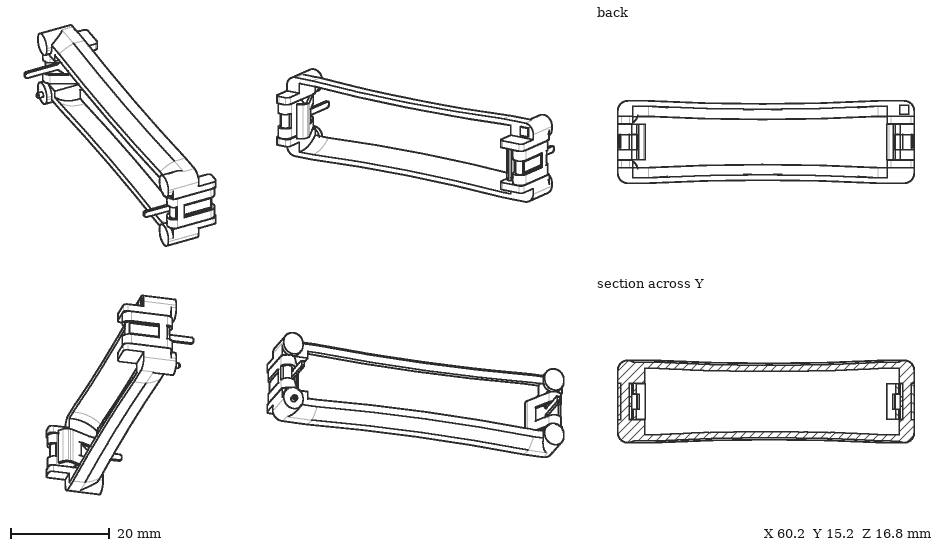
import cadquery as cq
import math

END_X = 30.1
RAIL_TOP_Z = 8.38
BODY_FRONT_Y = 1.1
RAIL_BACK_Y = 6.88
BLOCK_BACK_Y = 11.0
EDGE_OVERLAP = 1.0

BLOCK_Z = 5.2
LEFT_BLOCK_LENGTH = 5.54
RIGHT_BLOCK_LENGTH = 3.1
BLOCK_CORNER_RADIUS = 0.75

RAIL_INNER_Z = 5.18
RAIL_FRONT_OUTER_Z = 6.76
RAIL_FLAT_FRONT_Y = 4.37
RAIL_OUTER_RADIUS = 8.8
CELL_RADIUS = 7.3
CELL_Y = BODY_FRONT_Y + math.sqrt(CELL_RADIUS**2 - RAIL_INNER_Z**2)
BOW_CENTER_X = 0.63
BOW_HALF_LENGTH = 23.27
BOW_DEPTH = 0.62

STANDOFF_RADIUS = 2.05
STANDOFF_X = END_X - STANDOFF_RADIUS
STANDOFF_OUTER_Z = RAIL_TOP_Z - STANDOFF_RADIUS
STANDOFF_HEIGHT = 4.69
CHANNEL_Z = RAIL_TOP_Z - STANDOFF_HEIGHT
STANDOFF_MID_Z = RAIL_TOP_Z - STANDOFF_HEIGHT / 2

PEG_RADIUS = 0.55
PEG_LENGTH = 1.25
PEG_CHAMFER = 0.3
PAD_SIZE = 1.85
PAD_HEIGHT = 0.38
PAD_Z = 6.56

SHEET = 0.55
CONTACT_HEIGHT = 7.24
WRAP_RADIUS = 1.45
CORE_RADIUS = WRAP_RADIUS - SHEET
CORE_X = END_X - WRAP_RADIUS
CORE_FRONT_Y = 1.99
CORE_BACK_Y = BLOCK_BACK_Y - WRAP_RADIUS
SLOT_Z = 1.52
REAR_SLOT_FRONT_Y = 3.62
SPRING_SLOT_X = 25.7
SPRING_TILT = math.radians(26.5)
SPRING_PEAK_X = 24.5
CURL_RADIUS = 1.3
CURL_FLAT = 0.4
CURL_TURN = math.radians(50)
CURL_TIP_LENGTH = 1.15
PLATE_FRONT_Y = 6.0
TAPER_END_Y = 3.0
PIN_Z = 0.645
PIN_TIP_Y = -4.24
PIN_CHAMFER = 0.3

RIB_Z = 1.17
RIB_HEIGHT = 0.25
RIB_BACK_Y = 9.77


def box(x_range, y_range, z_range):
    lengths = [high - low for low, high in (x_range, y_range, z_range)]
    corner = (x_range[0], y_range[0], z_range[0])
    return cq.Workplane("XY").box(*lengths, centered=False).translate(corner)


def draw_outer_side(plane, bow):
    """Draw the outer side of a rail from its front edge to its back edge, shifted inward by the bow."""
    return (
        plane.moveTo(BODY_FRONT_Y, RAIL_FRONT_OUTER_Z - bow)
        .radiusArc((RAIL_FLAT_FRONT_Y, RAIL_TOP_Z - bow), RAIL_OUTER_RADIUS)
        .lineTo(RAIL_BACK_Y, RAIL_TOP_Z - bow)
    )


def draw_rail_section(plane, bow):
    """Draw the closed rail outline, hollowed on the inside to clear the round cell."""
    hollow_back_z = math.sqrt(CELL_RADIUS**2 - (RAIL_BACK_Y - CELL_Y) ** 2)
    return (
        draw_outer_side(plane, bow)
        .lineTo(RAIL_BACK_Y, hollow_back_z - bow)
        .threePointArc((CELL_Y, CELL_RADIUS - bow), (BODY_FRONT_Y, RAIL_INNER_Z - bow))
        .close()
    )


def make_upper_rail():
    bow_start_x = BOW_CENTER_X - BOW_HALF_LENGTH
    bow_end_x = BOW_CENTER_X + BOW_HALF_LENGTH
    bowed = draw_rail_section(cq.Workplane("YZ", origin=(bow_start_x, 0, 0)), 0)
    bowed = draw_rail_section(bowed.workplane(offset=BOW_HALF_LENGTH), BOW_DEPTH)
    bowed = draw_rail_section(bowed.workplane(offset=BOW_HALF_LENGTH), 0)
    rail = bowed.loft()
    for start_x, end_x in ((-STANDOFF_X, bow_start_x), (bow_end_x, STANDOFF_X)):
        plane = cq.Workplane("YZ", origin=(start_x, 0, 0))
        rail = rail.union(draw_rail_section(plane, 0).extrude(end_x - start_x))
    return rail


def make_upper_standoff(inner_x):
    """Right-hand standoff, cut back inward of the block so that it stays clear of the cell."""
    standoff = (
        cq.Workplane("XZ", origin=(STANDOFF_X, 0, STANDOFF_MID_Z))
        .slot2D(STANDOFF_HEIGHT, 2 * STANDOFF_RADIUS, 90)
        .extrude(-RAIL_BACK_Y)
    )
    cell = cq.Workplane("YZ").center(CELL_Y, 0).circle(CELL_RADIUS).extrude(inner_x)
    behind_foot = box((0, inner_x), (BODY_FRONT_Y, RAIL_BACK_Y), (0, CELL_RADIUS))
    return standoff.cut(cell.intersect(behind_foot))


def make_upper_cheek(inner_x):
    """Fills the end between the block, the rail's outer side and the standoff."""
    under_rail = (
        draw_outer_side(cq.Workplane("YZ", origin=(inner_x, 0, 0)), 0)
        .lineTo(RAIL_BACK_Y, 0)
        .lineTo(BODY_FRONT_Y, 0)
        .close()
        .extrude(STANDOFF_X - inner_x)
    )
    beside_standoff = box((STANDOFF_X, END_X), (BODY_FRONT_Y, RAIL_BACK_Y), (0, STANDOFF_OUTER_Z))
    return under_rail.union(beside_standoff)


def make_core():
    """Slab with half-round front and back that joins the two walls of a right-hand block."""
    length = CORE_BACK_Y - CORE_FRONT_Y + 2 * CORE_RADIUS
    core = (
        cq.Workplane("XY", origin=(CORE_X, (CORE_FRONT_Y + CORE_BACK_Y) / 2, -BLOCK_Z))
        .slot2D(length, 2 * CORE_RADIUS, 90)
        .extrude(2 * BLOCK_Z)
    )
    rib = box(
        (CORE_X, CORE_X + CORE_RADIUS + RIB_HEIGHT),
        (REAR_SLOT_FRONT_Y, RIB_BACK_Y),
        (-RIB_Z, RIB_Z),
    )
    return core.union(rib)


def make_right_end(block_length):
    inner_x = END_X - block_length
    block = box((inner_x, END_X), (BODY_FRONT_Y, BLOCK_BACK_Y), (-BLOCK_Z, BLOCK_Z))
    block = block.edges("|Z and >Y").fillet(BLOCK_CORNER_RADIUS)
    channel = box(
        (inner_x - EDGE_OVERLAP, END_X + EDGE_OVERLAP),
        (0, BLOCK_BACK_Y + EDGE_OVERLAP),
        (-CHANNEL_Z, CHANNEL_Z),
    )
    upper_end = make_upper_cheek(inner_x).union(make_upper_standoff(inner_x))
    end = block.union(upper_end).union(upper_end.mirror("XY"))
    return end.cut(channel).union(make_core())


def make_peg():
    return (
        cq.Workplane("XZ", origin=(-STANDOFF_X, 0, -STANDOFF_OUTER_Z))
        .circle(PEG_RADIUS)
        .extrude(PEG_LENGTH)
        .faces("<Y")
        .chamfer(PEG_CHAMFER)
    )


def make_pad():
    return (
        cq.Workplane("XZ", origin=(-STANDOFF_X, RAIL_BACK_Y, PAD_Z))
        .rect(PAD_SIZE, PAD_SIZE)
        .extrude(-PAD_HEIGHT)
    )


def make_housing():
    rail = make_upper_rail()
    housing = make_right_end(RIGHT_BLOCK_LENGTH)
    housing = housing.union(make_right_end(LEFT_BLOCK_LENGTH).mirror("YZ"))
    housing = housing.union(rail).union(rail.mirror("XY"))
    return housing.union(make_peg()).union(make_pad())


def make_wrapped_sheet():
    """Sheet swept along its mid-line: inner plate, rear bend, outer leg, front bend, spring, curl."""
    radius = WRAP_RADIUS - SHEET / 2
    front_turn = (math.pi - SPRING_TILT) / 2
    bend_end = (CORE_X - radius * math.cos(SPRING_TILT), CORE_FRONT_Y - radius * math.sin(SPRING_TILT))
    bend_middle = (
        CORE_X + radius * math.cos(front_turn + SPRING_TILT),
        CORE_FRONT_Y - radius * math.sin(front_turn + SPRING_TILT),
    )
    curl_radius = CURL_RADIUS - SHEET / 2
    curl_x = SPRING_PEAK_X + CURL_RADIUS
    leg_end_x = curl_x - curl_radius * math.cos(SPRING_TILT)
    leg_end_y = bend_end[1] + (bend_end[0] - leg_end_x) / math.tan(SPRING_TILT)
    curl_y = leg_end_y + curl_radius * math.sin(SPRING_TILT)
    flat_end_y = curl_y + CURL_FLAT
    curl_end = (curl_x - curl_radius * math.cos(CURL_TURN), flat_end_y + curl_radius * math.sin(CURL_TURN))
    tip = (
        curl_end[0] + CURL_TIP_LENGTH * math.sin(CURL_TURN),
        curl_end[1] + CURL_TIP_LENGTH * math.cos(CURL_TURN),
    )
    path = (
        cq.Workplane("XY")
        .moveTo(CORE_X - radius, PLATE_FRONT_Y)
        .lineTo(CORE_X - radius, CORE_BACK_Y)
        .threePointArc((CORE_X, CORE_BACK_Y + radius), (CORE_X + radius, CORE_BACK_Y))
        .lineTo(CORE_X + radius, CORE_FRONT_Y)
        .threePointArc(bend_middle, bend_end)
        .lineTo(leg_end_x, leg_end_y)
        .radiusArc((curl_x - curl_radius, curl_y), curl_radius)
        .lineTo(curl_x - curl_radius, flat_end_y)
        .radiusArc(curl_end, curl_radius)
        .lineTo(*tip)
    )
    start = cq.Workplane("XZ", origin=(CORE_X - radius, PLATE_FRONT_Y, 0))
    return start.rect(SHEET, CONTACT_HEIGHT).sweep(path)


def make_pin():
    """Solder pin that widens into the inner plate."""
    return (
        cq.Workplane("YZ", origin=(CORE_X - WRAP_RADIUS, 0, 0))
        .moveTo(PIN_TIP_Y, PIN_Z - PIN_CHAMFER)
        .lineTo(PIN_TIP_Y + PIN_CHAMFER, PIN_Z)
        .lineTo(TAPER_END_Y, PIN_Z)
        .lineTo(PLATE_FRONT_Y, CONTACT_HEIGHT / 2)
        .lineTo(PLATE_FRONT_Y, 0)
        .lineTo(PIN_TIP_Y, 0)
        .close()
        .mirrorX()
        .extrude(SHEET)
    )


def make_right_contact():
    sheet = make_wrapped_sheet()
    slot_height = (-SLOT_Z, SLOT_Z)
    rear_slot = box(
        (CORE_X - 2 * WRAP_RADIUS, END_X + EDGE_OVERLAP),
        (REAR_SLOT_FRONT_Y, BLOCK_BACK_Y + EDGE_OVERLAP),
        slot_height,
    ).cut(box((0, CORE_X), (0, CORE_BACK_Y), slot_height))
    bend_slot = box((SPRING_SLOT_X, END_X + EDGE_OVERLAP), (0, CORE_FRONT_Y), slot_height)
    leg_slot = box((SPRING_SLOT_X, CORE_X), (0, PLATE_FRONT_Y), slot_height)
    return sheet.cut(rear_slot).cut(bend_slot).cut(leg_slot).union(make_pin())


housing = make_housing()
right_contact = make_right_contact()
left_contact = right_contact.mirror("YZ")

result = cq.Compound.makeCompound([housing.val(), right_contact.val(), left_contact.val()])